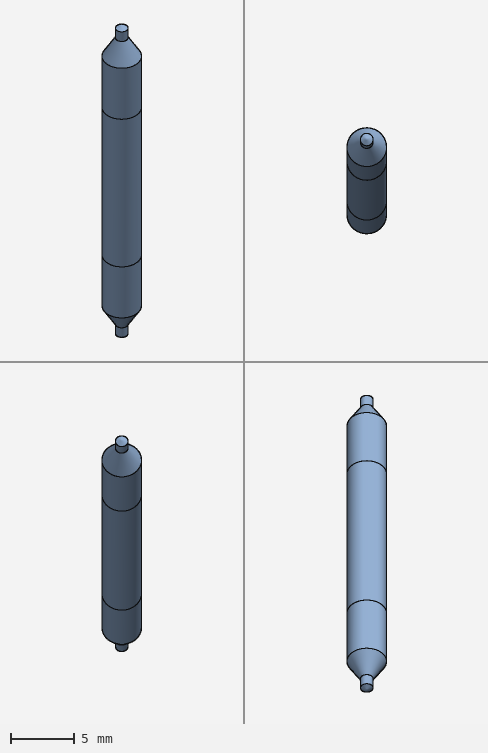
import cadquery as cq
import math

total_length = 31.5
body_radius = 1.58

barrel_length = 14.93

neck_radius = 0.5
neck_length = 0.98
point_half_angle = 60.0
taper_half_angle = 30.0

barrel_end = barrel_length / 2
apex = total_length / 2
neck_top = apex - neck_radius / math.tan(math.radians(point_half_angle))
neck_bottom = neck_top - neck_length
taper_length = (body_radius - neck_radius) / math.tan(math.radians(taper_half_angle))
taper_bottom = neck_bottom - taper_length


def make_barrel():
    """Plain cylinder between the two end pieces, centred on the origin."""
    return cq.Workplane("XY").cylinder(barrel_length, body_radius)


def make_end_piece(side):
    """Shank, taper, neck and conical point; side is 1 for the top and -1 for the bottom."""
    half_profile = [
        (0, side * barrel_end),
        (body_radius, side * barrel_end),
        (body_radius, side * taper_bottom),
        (neck_radius, side * neck_bottom),
        (neck_radius, side * neck_top),
        (0, side * apex),
    ]
    return cq.Workplane("XZ").polyline(half_profile).close().revolve(360, (0, 0), (0, 1))


barrel = make_barrel()
end_pieces = [make_end_piece(side) for side in (1, -1)]

result = cq.Compound.makeCompound([barrel.val(), *[piece.val() for piece in end_pieces]])